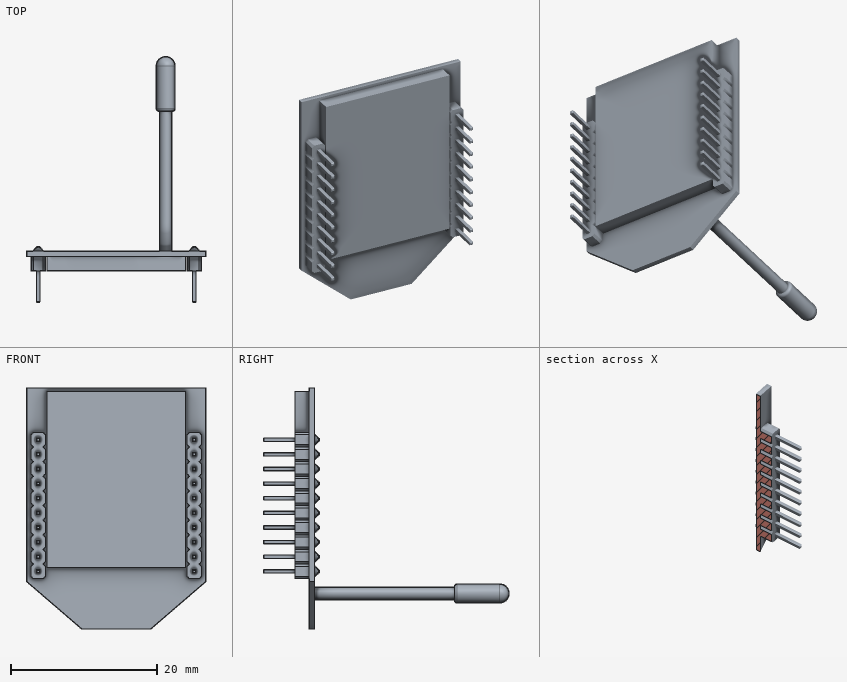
import cadquery as cq


BOARD_WIDTH = 24.5
BOARD_HEIGHT = 33.0
BOARD_THICKNESS = 0.75
BOARD_BOTTOM_WIDTH = 9.4
TAPER_HEIGHT = 6.5

PINS_PER_ROW = 10
PITCH = 2.0
ROW_SPACING = 21.34
FIRST_PIN_BELOW_TOP = 7.1
HOUSING_WIDTH = 1.95
HOUSING_DEPTH = 1.95
HOUSING_CORNER = 0.32
PIN_SIZE = 0.5
PIN_REACH = 4.3
PIN_TAIL = 0.65
PIN_TIP_CHAMFER = 0.1

MODULE_WIDTH = 19.0
MODULE_HEIGHT = 24.1
MODULE_DEPTH = HOUSING_DEPTH
MODULE_TOP_MARGIN = 0.5

SOLDER_BASE_RADIUS = 0.75
SOLDER_TIP_RADIUS = 0.2
SOLDER_HEIGHT = 0.6

ANTENNA_X = 6.75
ANTENNA_Z = 4.88
ANTENNA_LENGTH = 26.6
ROD_RADIUS = 0.86
HEAD_RADIUS = 1.3
HEAD_LENGTH = 7.5
HEAD_BASE_FILLET = 0.4


def make_box(x_size, z_size, y_front, y_back, x_center, z_center):
    """Box between two Y planes, centred on the given X and Z."""
    depth = y_back - y_front
    center = (x_center, (y_front + y_back) / 2, z_center)
    return cq.Workplane("XY").box(x_size, depth, z_size).translate(center)


def make_board():
    half_width = BOARD_WIDTH / 2
    half_bottom = BOARD_BOTTOM_WIDTH / 2
    outline = [
        (-half_bottom, 0),
        (half_bottom, 0),
        (half_width, TAPER_HEIGHT),
        (half_width, BOARD_HEIGHT),
        (-half_width, BOARD_HEIGHT),
        (-half_width, TAPER_HEIGHT),
    ]
    return cq.Workplane("XZ").polyline(outline).close().extrude(-BOARD_THICKNESS)


def make_module():
    z_center = BOARD_HEIGHT - MODULE_TOP_MARGIN - MODULE_HEIGHT / 2
    return make_box(MODULE_WIDTH, MODULE_HEIGHT, -MODULE_DEPTH, 0, 0, z_center)


def make_housing(x, z):
    block = make_box(HOUSING_WIDTH, PITCH, -HOUSING_DEPTH, 0, x, z)
    return block.edges("|Y").chamfer(HOUSING_CORNER)


def make_pin(x, z):
    y_front = -HOUSING_DEPTH - PIN_REACH
    y_back = BOARD_THICKNESS + PIN_TAIL
    pin = make_box(PIN_SIZE, PIN_SIZE, y_front, y_back, x, z)
    return pin.faces("<Y or >Y").chamfer(PIN_TIP_CHAMFER)


def make_solder_cone(x, z):
    base = cq.Vector(x, BOARD_THICKNESS, z)
    backward = cq.Vector(0, 1, 0)
    cone = cq.Solid.makeCone(SOLDER_BASE_RADIUS, SOLDER_TIP_RADIUS, SOLDER_HEIGHT, base, backward)
    return cq.Workplane(obj=cone)


def make_antenna():
    """Thin rod with a thicker round-nosed head, pointing along +Y."""
    y_start = BOARD_THICKNESS
    y_tip = y_start + ANTENNA_LENGTH
    y_head = y_tip - HEAD_LENGTH
    rod = cq.Workplane("XZ", origin=(0, y_start, 0)).circle(ROD_RADIUS).extrude(y_start - y_head)
    head = cq.Workplane("XZ", origin=(0, y_head, 0)).circle(HEAD_RADIUS).extrude(HEAD_RADIUS - HEAD_LENGTH)
    head = head.faces("<Y").edges().fillet(HEAD_BASE_FILLET)
    nose = cq.Workplane("XY").sphere(HEAD_RADIUS).translate((0, y_tip - HEAD_RADIUS, 0))
    return rod.union(head).union(nose).translate((ANTENNA_X, 0, ANTENNA_Z))


result = make_board().union(make_module()).union(make_antenna())

for row_x in (-ROW_SPACING / 2, ROW_SPACING / 2):
    for index in range(PINS_PER_ROW):
        pin_z = BOARD_HEIGHT - FIRST_PIN_BELOW_TOP - index * PITCH
        result = result.union(make_housing(row_x, pin_z))
        result = result.union(make_solder_cone(row_x, pin_z))
        result = result.union(make_pin(row_x, pin_z))